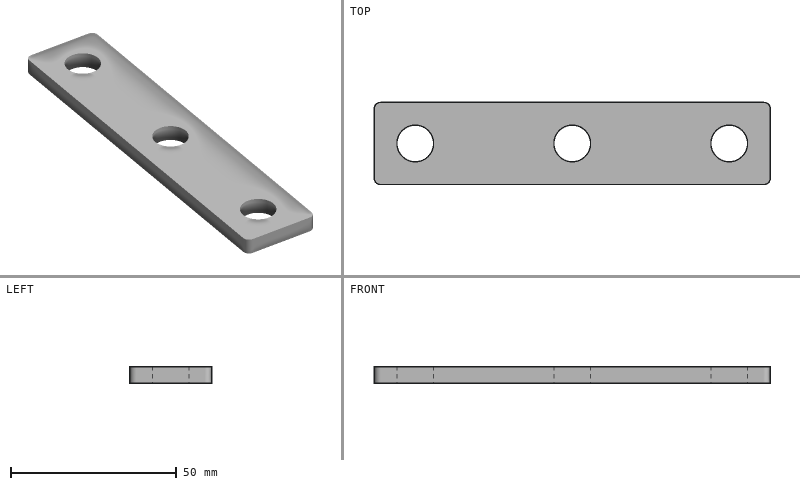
import cadquery as cq

length = 120.0
width = 25.0
thickness = 5.0
corner_radius = 2.0

hole_diameter = 11.0
hole_spacing = 47.5
hole_count = 3

plate = (
    cq.Workplane("XY")
    .box(length, width, thickness)
    .edges("|Z")
    .fillet(corner_radius)
)

result = (
    plate.faces(">Z")
    .workplane()
    .rarray(hole_spacing, width, hole_count, 1)
    .hole(hole_diameter)
)